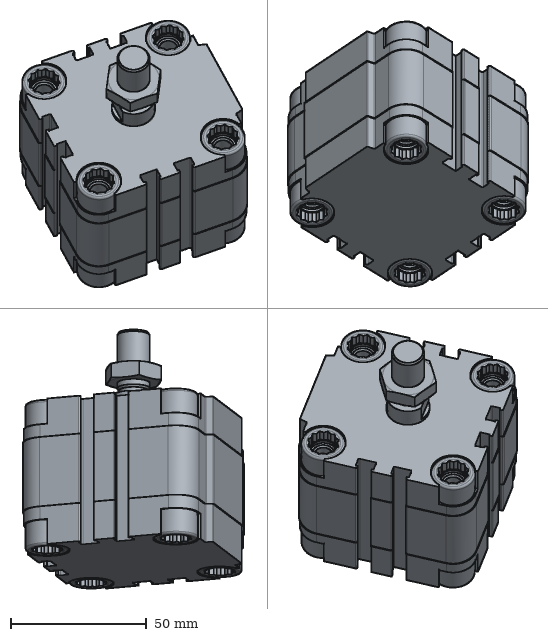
import cadquery as cq
import math


body_height = 55.5
body_half_width = 34.0
screw_spacing = 50.0
rib_face = 37.0
rib_half_width = 16.8
rib_slant_angle = 15
rib_rounding = 0.35
cap_height = 14.5
cap_inset = 0.305

slot_inner_side = 3.4
slot_outer_side = 10.3
slot_floor = 28.9
slot_roof = 32.45
slot_corner_radius = 0.4
mouth_inner_side = 4.0
mouth_outer_side = 9.4
mouth_inner_radius = 0.305
mouth_outer_radius = 0.565

collar_radius = 8.1
collar_height = 9.6
collar_rounding = 0.9
pocket_radius = 8.3
corner_cut_start = 22.1
socket_flats = 10.0
socket_mouth_radius = 6.3
socket_mouth_depth = 0.35
socket_depth = 4.6
socket_floor_depth = 5.9
screw_hole_diameter = 6.6
screw_hole_chamfer = 0.7

rod_top = 87.0
rod_radius = 8.0
rod_shoulder = 63.0
rod_flats = 13.0
rod_flats_start = 56.7
neck_radius = 5.3
neck_top = 65.1
thread_radius = 6.0
thread_tip_radius = 5.5
thread_chamfer_height = 0.9
nut_bottom = 67.95
nut_height = 6.0
nut_flats = 18.9
nut_chamfer_angle = 15

hexagon_half_angle = 30
socket_corner_diameter = socket_flats / math.cos(math.radians(hexagon_half_angle))
screw_offset = screw_spacing / 2
corner_points = [(sx * screw_offset, sy * screw_offset) for sx in (-1, 1) for sy in (-1, 1)]
rotations_of_slotted_sides = (0, 90, -90)


def mouth_rounding(edge, radius, direction, face):
    """Profile of the sliver removed to round one mouth edge on a -Y face; direction is +1 or -1 in X."""
    centre = edge + direction * radius
    arc_step = radius * math.sqrt(0.5)
    return (
        cq.Workplane("XY")
        .moveTo(edge, -face)
        .lineTo(centre, -face)
        .threePointArc((centre - direction * arc_step, -face + radius - arc_step), (edge, -face + radius))
        .close()
    )


def make_slot(face, height):
    """Cutter for the T-slot on the +X half of a -Y face, from Z = 0 up."""
    def block(x_start, x_end, y_start, y_end):
        return cq.Workplane("XY").box(
            x_end - x_start, y_end - y_start, height, centered=False
        ).translate((x_start, y_start, 0))

    cavity = block(slot_inner_side, slot_outer_side, -slot_roof, -slot_floor)
    cavity = cavity.edges("|Z and >X").fillet(slot_corner_radius)
    mouth = block(mouth_inner_side, mouth_outer_side, -face, -slot_roof)
    inner_edge = mouth_rounding(mouth_inner_side, mouth_inner_radius, -1, face).extrude(height)
    outer_edge = mouth_rounding(mouth_outer_side, mouth_outer_radius, 1, face).extrude(height)
    return cavity.union(mouth).union(inner_edge).union(outer_edge)


def make_section(inset, height):
    """Slotted length of the housing from Z = 0 up, with its outline moved in by inset."""
    face = body_half_width - inset
    corner_radius = face - screw_offset
    section = cq.Workplane("XY").rect(2 * face, 2 * face).extrude(height)
    section = section.edges("|Z").fillet(corner_radius)

    rib_top = rib_face - inset
    top_half = rib_half_width - inset
    base_half = top_half + (rib_top - face) * math.tan(math.radians(rib_slant_angle))
    rib = (
        cq.Workplane("XY")
        .polyline([(-base_half, 0), (base_half, 0), (base_half, face),
                   (top_half, rib_top), (-top_half, rib_top), (-base_half, face)])
        .close()
        .extrude(height)
    )
    section = section.union(rib)
    margin = rib_rounding / 2
    for y in (face, rib_top):
        flank_edges = cq.selectors.BoxSelector(
            (-base_half - margin, y - margin, 0), (base_half + margin, y + margin, height)
        )
        section = section.edges("|Z").edges(flank_edges).fillet(rib_rounding)

    right_slot = make_slot(face, height)
    left_slot = right_slot.mirror("YZ")
    for angle in rotations_of_slotted_sides:
        for slot in (right_slot, left_slot):
            section = section.cut(slot.rotate((0, 0, 0), (0, 0, 1), angle))
    return section


def make_socket():
    """Cutter for one twelve-point socket whose mouth lies at Z = 0 and opens upward."""
    mouth_end_radius = socket_flats / 2
    hole_radius = screw_hole_diameter / 2
    bore = (
        cq.Workplane("XZ")
        .polyline([
            (0, 0),
            (socket_mouth_radius, 0),
            (mouth_end_radius, -socket_mouth_depth),
            (mouth_end_radius, -socket_floor_depth),
            (hole_radius + screw_hole_chamfer, -socket_floor_depth),
            (hole_radius, -socket_floor_depth - screw_hole_chamfer),
            (0, -socket_floor_depth - screw_hole_chamfer),
        ])
        .close()
        .revolve(360, (0, 0, 0), (0, 1, 0))
    )
    hexagon = cq.Workplane("XY").polygon(6, socket_corner_diameter).extrude(-socket_depth)
    turned_hexagon = hexagon.rotate((0, 0, 0), (0, 0, 1), hexagon_half_angle)
    return bore.union(hexagon).union(turned_hexagon)


def make_top_cap():
    """Upper end cap with its four corner collars, in place."""
    cap = make_section(cap_inset, cap_height).translate((0, 0, body_height - cap_height))
    collar_base = body_height - collar_height
    corner_cut_size = body_half_width - corner_cut_start
    corner_cut_middle = corner_cut_start + corner_cut_size / 2
    collar = cq.Workplane("XY").circle(collar_radius).extrude(collar_height)
    pocket = cq.Workplane("XY").circle(pocket_radius).extrude(collar_height)
    collar = collar.faces(">Z").edges().fillet(collar_rounding)
    socket = make_socket()
    for x, y in corner_points:
        corner_cut = cq.Workplane("XY").box(
            corner_cut_size, corner_cut_size, collar_height, centered=(True, True, False)
        ).translate((math.copysign(corner_cut_middle, x), math.copysign(corner_cut_middle, y), collar_base))
        cap = cap.cut(corner_cut)
        cap = cap.cut(pocket.translate((x, y, collar_base)))
        cap = cap.union(collar.translate((x, y, collar_base)))
        cap = cap.cut(socket.translate((x, y, body_height)))
    return cap


def make_housing():
    """Barrel and both end caps in one piece, with the four through holes."""
    barrel = make_section(0, body_height - 2 * cap_height).translate((0, 0, cap_height))
    top_cap = make_top_cap()
    bottom_cap = top_cap.mirror("XY", (0, 0, body_height / 2))
    holes = (
        cq.Workplane("XY").pushPoints(corner_points).circle(screw_hole_diameter / 2).extrude(body_height)
    )
    return barrel.union(top_cap).union(bottom_cap).cut(holes)


def make_rod():
    """Rod end standing on the housing: shoulder with two flats, neck and thread."""
    rod = (
        cq.Workplane("XZ")
        .polyline([
            (0, body_height),
            (rod_radius, body_height),
            (rod_radius, rod_shoulder),
            (neck_radius, rod_shoulder),
            (neck_radius, neck_top),
            (thread_tip_radius, neck_top),
            (thread_radius, neck_top + thread_chamfer_height),
            (thread_radius, rod_top - thread_chamfer_height),
            (thread_tip_radius, rod_top),
            (0, rod_top),
        ])
        .close()
        .revolve(360, (0, 0, 0), (0, 1, 0))
    )
    flat_depth = rod_radius - rod_flats / 2
    flat_middle = rod_flats / 2 + flat_depth / 2
    flats = (
        cq.Workplane("XY", origin=(0, 0, rod_flats_start))
        .pushPoints([(0, -flat_middle), (0, flat_middle)])
        .rect(2 * rod_radius, flat_depth)
        .extrude(rod_shoulder - rod_flats_start)
    )
    return rod.cut(flats)


def make_nut():
    """Hexagon nut with corners along Y, chamfered on both faces and bored to the thread."""
    flat_radius = nut_flats / 2
    corner_radius = flat_radius / math.cos(math.radians(hexagon_half_angle))
    chamfer_height = (corner_radius - flat_radius) * math.tan(math.radians(nut_chamfer_angle))
    hexagon = cq.Workplane("XY").polygon(6, 2 * corner_radius).extrude(nut_height)
    hexagon = hexagon.rotate((0, 0, 0), (0, 0, 1), hexagon_half_angle)
    chamfered_blank = (
        cq.Workplane("XZ")
        .polyline([
            (0, 0),
            (flat_radius, 0),
            (corner_radius, chamfer_height),
            (corner_radius, nut_height - chamfer_height),
            (flat_radius, nut_height),
            (0, nut_height),
        ])
        .close()
        .revolve(360, (0, 0, 0), (0, 1, 0))
    )
    bore = cq.Workplane("XY").circle(thread_radius).extrude(nut_height)
    return hexagon.intersect(chamfered_blank).cut(bore).translate((0, 0, nut_bottom))


housing = make_housing()
rod = make_rod()
nut = make_nut()
result = cq.Compound.makeCompound([housing.val(), rod.val(), nut.val()])